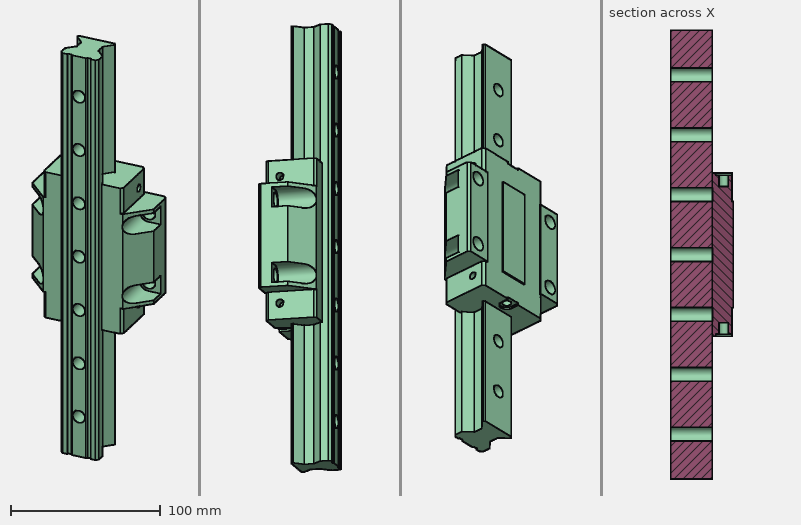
import cadquery as cq

TOTAL_HEIGHT = 42.0

RAIL_LENGTH = 300.0
RAIL_WIDTH = 28.0
RAIL_HEIGHT = 28.0
RAIL_EDGE_CHAMFER = 1.8
HEAD_CORNER_CHAMFER = 1.0
WAIST_WIDTH = 16.0
WAIST_BOTTOM = 13.5
WAIST_TOP = 20.0
FOOT_GROOVE_OUTER = 8.7
FOOT_GROOVE_INNER = 6.0
FOOT_GROOVE_DEPTH = 1.0
RAIL_HOLE_COUNT = 7
RAIL_HOLE_SPAN = 240.0
RAIL_HOLE_PITCH = RAIL_HOLE_SPAN / (RAIL_HOLE_COUNT - 1)
RAIL_HOLE_DIAMETER = 9.0

CARRIAGE_BOTTOM = 6.0
BLOCK_WIDTH = 90.0
BLOCK_LENGTH = 71.0
BLOCK_FOOT_WIDTH = 58.8
BLOCK_SIDE_BOTTOM = 21.5
CARRIAGE_CHAMFER = 1.8
RELIEF_INNER = 10.8
RELIEF_OUTER = 26.5
RELIEF_DEPTH = 1.0
CAP_WIDTH = BLOCK_FOOT_WIDTH
CAP_DROP = 1.0
CAP_TOP = TOTAL_HEIGHT - CAP_DROP
CARRIAGE_LENGTH = 109.2

MOUNT_SPACING_X = 72.0
MOUNT_SPACING_Z = 52.0
MOUNT_HOLE_DIAMETER = 10.0
SPOT_FACE_DIAMETER = 13.5
SPOT_FACE_Y = 32.5

PORT_RECESS_WIDTH = 10.2
PORT_RECESS_DEPTH = 1.5
PORT_Y = 35.5
PORT_DIAMETER = 6.0
PORT_DEPTH = 9.0
SIDE_PORT_DIAMETER = 5.0
SIDE_PORT_Y = 31.2
SIDE_PORT_SPACING = 87.0
SIDE_PORT_DEPTH = 9.0


def extrude_along_rail(right_half, length):
    """Mirror a half outline about X = 0 and extrude it centred on Z = 0."""
    left_half = [(-x, y) for x, y in reversed(right_half)]
    outline = cq.Workplane("XY").polyline(right_half + left_half).close()
    return outline.extrude(length / 2, both=True)


def cylinder_along_y(x, z, diameter, y_start, y_end):
    """Cylinder between two heights; the XZ plane's normal points to -Y."""
    plane = cq.Workplane("XZ", origin=(x, y_start, z))
    return plane.circle(diameter / 2).extrude(y_start - y_end)


def rail_blank():
    half_width = RAIL_WIDTH / 2
    half_waist = WAIST_WIDTH / 2
    flank_rise = half_width - half_waist
    return extrude_along_rail(
        [
            (half_width - RAIL_EDGE_CHAMFER, 0),
            (half_width, RAIL_EDGE_CHAMFER),
            (half_width, WAIST_BOTTOM - flank_rise),
            (half_waist, WAIST_BOTTOM),
            (half_waist, WAIST_TOP),
            (half_width, WAIST_TOP + flank_rise),
            (half_width, RAIL_HEIGHT - HEAD_CORNER_CHAMFER),
            (half_width - HEAD_CORNER_CHAMFER, RAIL_HEIGHT),
        ],
        RAIL_LENGTH,
    )


def foot_groove(side):
    """Shallow groove along the rail's foot, with a sloped inner wall."""
    outline = [
        (side * FOOT_GROOVE_OUTER, 0),
        (side * FOOT_GROOVE_OUTER, FOOT_GROOVE_DEPTH),
        (side * FOOT_GROOVE_INNER, FOOT_GROOVE_DEPTH),
        (side * (FOOT_GROOVE_INNER - FOOT_GROOVE_DEPTH), 0),
    ]
    return cq.Workplane("XY").polyline(outline).close().extrude(RAIL_LENGTH / 2, both=True)


def make_rail():
    rail = rail_blank()
    for side in (-1, 1):
        rail = rail.cut(foot_groove(side))
    for index in range(RAIL_HOLE_COUNT):
        z = index * RAIL_HOLE_PITCH - RAIL_HOLE_SPAN / 2
        rail = rail.cut(cylinder_along_y(0, z, RAIL_HOLE_DIAMETER, 0, RAIL_HEIGHT))
    return rail


def carriage_block():
    """Flanged middle of the carriage, with two shallow reliefs in its mounting face."""
    relief_floor = TOTAL_HEIGHT - RELIEF_DEPTH
    return extrude_along_rail(
        [
            (BLOCK_FOOT_WIDTH / 2, CARRIAGE_BOTTOM),
            (BLOCK_WIDTH / 2, BLOCK_SIDE_BOTTOM),
            (BLOCK_WIDTH / 2, TOTAL_HEIGHT - CARRIAGE_CHAMFER),
            (BLOCK_WIDTH / 2 - CARRIAGE_CHAMFER, TOTAL_HEIGHT),
            (RELIEF_OUTER, TOTAL_HEIGHT),
            (RELIEF_OUTER, relief_floor),
            (RELIEF_INNER, relief_floor),
            (RELIEF_INNER, TOTAL_HEIGHT),
        ],
        BLOCK_LENGTH,
    )


def end_caps():
    """Narrower chamfered bar that runs through the block and shows as a cap at each end."""
    height = CAP_TOP - CARRIAGE_BOTTOM
    bar = cq.Workplane("XY").box(CAP_WIDTH, height, CARRIAGE_LENGTH)
    bar = bar.edges("|Z").chamfer(CARRIAGE_CHAMFER)
    return bar.translate((0, CARRIAGE_BOTTOM + height / 2, 0))


def mounting_hole(side, z):
    """Through hole and a round-ended spot-face pocket that opens outward and downward."""
    x = side * MOUNT_SPACING_X / 2
    hole = cylinder_along_y(x, z, MOUNT_HOLE_DIAMETER, 0, TOTAL_HEIGHT)
    pocket = cylinder_along_y(x, z, SPOT_FACE_DIAMETER, 0, SPOT_FACE_Y)
    opening_length = BLOCK_WIDTH / 2 - MOUNT_SPACING_X / 2
    opening = cq.Workplane("XY").box(opening_length, SPOT_FACE_Y, SPOT_FACE_DIAMETER)
    opening = opening.translate((x + side * opening_length / 2, SPOT_FACE_Y / 2, z))
    return hole.union(pocket).union(opening)


def grease_port(end):
    """U-shaped recess, open to the mounting face, with a blind hole in its floor."""
    face = cq.Workplane("XY", origin=(0, 0, end * CARRIAGE_LENGTH / 2))
    slot_height = TOTAL_HEIGHT - PORT_Y
    round_end = face.center(0, PORT_Y).circle(PORT_RECESS_WIDTH / 2).extrude(-end * PORT_RECESS_DEPTH)
    slot = face.center(0, PORT_Y + slot_height / 2).rect(PORT_RECESS_WIDTH, slot_height)
    slot = slot.extrude(-end * PORT_RECESS_DEPTH)
    hole = face.center(0, PORT_Y).circle(PORT_DIAMETER / 2).extrude(-end * PORT_DEPTH)
    return round_end.union(slot).union(hole)


def side_port(side, end):
    """Blind hole in the flank of an end cap."""
    center = (side * CAP_WIDTH / 2, SIDE_PORT_Y, end * SIDE_PORT_SPACING / 2)
    flank = cq.Workplane("YZ", origin=center)
    return flank.circle(SIDE_PORT_DIAMETER / 2).extrude(-side * SIDE_PORT_DEPTH)


def make_carriage():
    carriage = carriage_block().union(end_caps()).cut(rail_blank())
    for end in (-1, 1):
        carriage = carriage.cut(grease_port(end))
        for side in (-1, 1):
            carriage = carriage.cut(mounting_hole(side, end * MOUNT_SPACING_Z / 2))
            carriage = carriage.cut(side_port(side, end))
    return carriage


rail = make_rail()
carriage = make_carriage()

result = cq.Compound.makeCompound([rail.val(), carriage.val()])